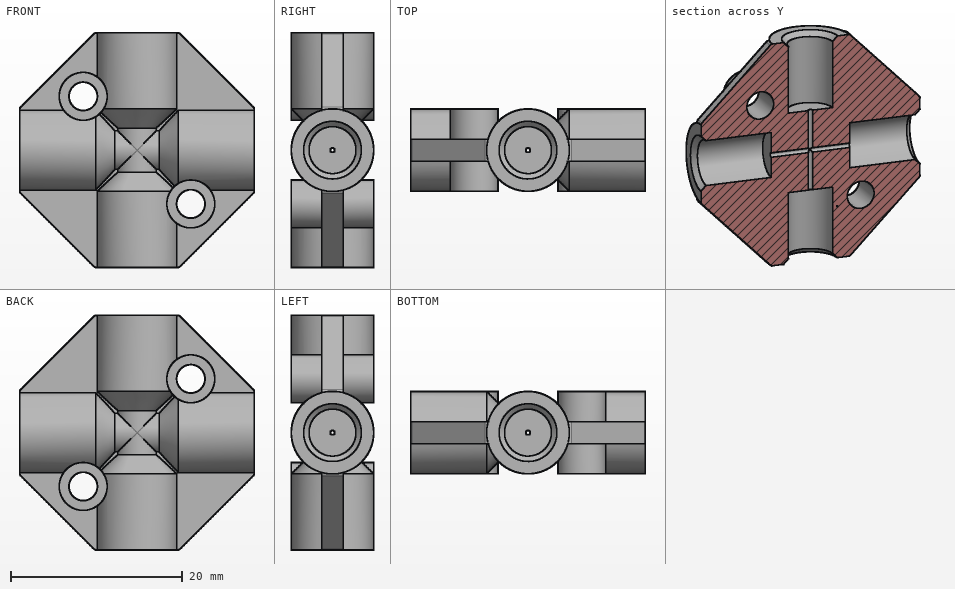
import cadquery as cq

span = 27.43
half_span = span / 2
tube_diameter = 9.65
tube_radius = tube_diameter / 2
neck_radius = 2.58
arm_angles = [0, 90, 180, 270]

bore_diameter = 5.49
bore_mouth_diameter = 6.75
mouth_depth = (bore_mouth_diameter - bore_diameter) / 2
bore_depth = 8.78
passage_diameter = 0.5

plate_thickness = 2.55
plate_flat_half = 4.9
plate_corner_radius = 0.5

boss_diameter = 5.6
boss_hole_diameter = 3.3
boss_offset = 6.28
boss_centers = [(-boss_offset, boss_offset), (boss_offset, -boss_offset)]


def around_center(body):
    """Four copies of a body along +Z, +X, -Z and -X."""
    return [body.rotate((0, 0, 0), (0, 1, 0), angle) for angle in arm_angles]


def make_arm():
    """Tube along +Z, tapering at 45 degrees to a neck through the center."""
    profile = [
        (0, 0),
        (neck_radius, 0),
        (neck_radius, neck_radius),
        (tube_radius, tube_radius),
        (tube_radius, half_span),
        (0, half_span),
    ]
    return cq.Workplane("XZ").polyline(profile).close().revolve(360, (0, 0), (0, 1))


def make_bore():
    """Blind bore in the +Z tube with a chamfered mouth and a fine central passage."""
    bore_radius = bore_diameter / 2
    passage_radius = passage_diameter / 2
    bore_floor = half_span - bore_depth
    profile = [
        (0, 0),
        (passage_radius, 0),
        (passage_radius, bore_floor),
        (bore_radius, bore_floor),
        (bore_radius, half_span - mouth_depth),
        (bore_mouth_diameter / 2, half_span),
        (0, half_span),
    ]
    return cq.Workplane("XZ").polyline(profile).close().revolve(360, (0, 0), (0, 1))


def make_plate():
    """Square plate with its corners cut off at 45 degrees and the new edges rounded."""
    corner_cut = half_span - plate_flat_half
    square = cq.Workplane("XZ").rect(span, span).extrude(plate_thickness / 2, both=True)
    return square.edges("|Y").chamfer(corner_cut).edges("|Y").fillet(plate_corner_radius)


def cylinders_at_bosses(diameter):
    """Cylinders across the full depth of the part at both boss centers."""
    return cq.Workplane("XZ").pushPoints(boss_centers).circle(diameter / 2).extrude(tube_radius, both=True)


result = make_plate().union(cylinders_at_bosses(boss_diameter))
for arm in around_center(make_arm()):
    result = result.union(arm)
for bore in around_center(make_bore()):
    result = result.cut(bore)
result = result.cut(cylinders_at_bosses(boss_hole_diameter))